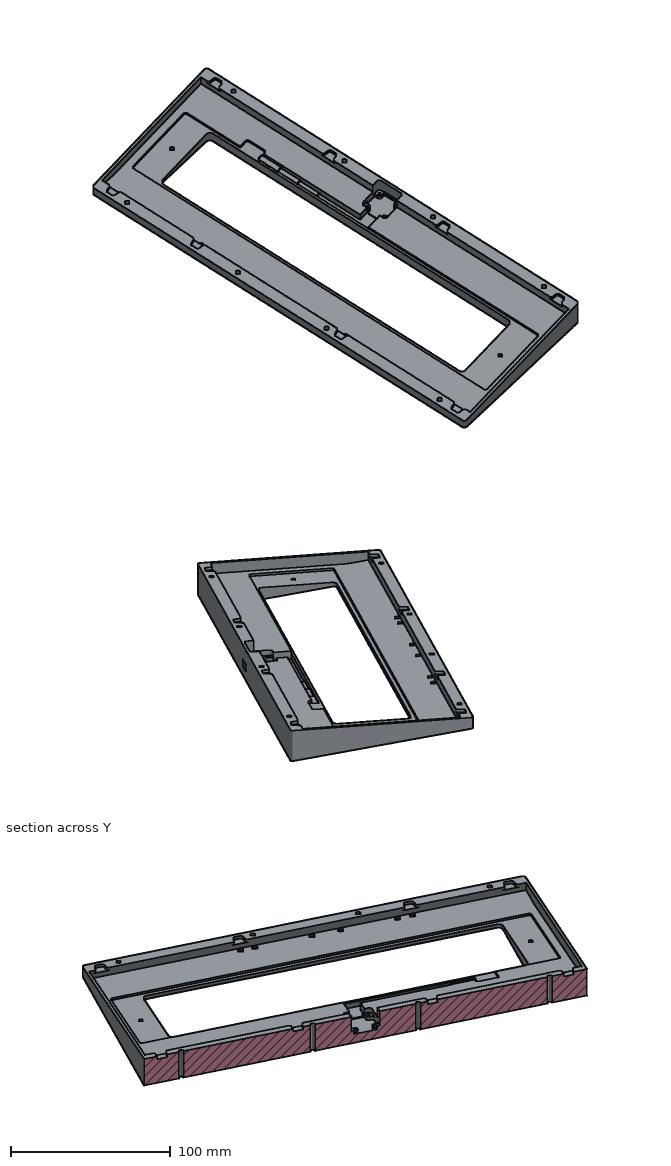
import cadquery as cq
import math

LENGTH = 295.3
WIDTH = 116.5
BACK_HEIGHT = 20.7
FRONT_HEIGHT = 7.5
CORNER_RADIUS = 2.0
HALF_WIDTH = WIDTH / 2
RISE = BACK_HEIGHT - FRONT_HEIGHT

SIDE_WALL = 2.0
RIM = 8.0
POCKET_DEPTH = 7.0
POCKET_FLOOR = BACK_HEIGHT - POCKET_DEPTH
POCKET_LENGTH = LENGTH - 2 * SIDE_WALL
POCKET_EDGE = HALF_WIDTH - RIM
RAMP_START = -37.0

RECESS_LENGTH = 280.2
RECESS_WIDTH = 54.3
RECESS_DEPTH = 1.5
RECESS_RADIUS = 1.5
RECESS_FLOOR = POCKET_FLOOR - RECESS_DEPTH
RECESS_BACK = RECESS_WIDTH / 2

WINDOW_LENGTH = 239.5
WINDOW_WIDTH = 50.0
WINDOW_Y = 0.45
WINDOW_RADIUS = 3.0

SCREW_DIAMETER = 2.55
SCREW_X = 130.0
SCREW_Y = 0.5
SCREW_DEPTH = 2.5
DRILL_TIP_ANGLE = 118.0

RIM_HOLE_DIAMETER = 3.0
RIM_HOLE_Y = 54.3
BACK_HOLES = (-122.8, -35.0, 35.0, 122.8)
FRONT_HOLES = (-122.8, -35.0, 35.0, 124.5)

TAB_BASE = 7.7
TAB_TOP = 6.0
TAB_REACH = 5.3
TAB_DEPTH = 2.0
TAB_RADIUS = 1.5
TAB_MOUTH = 4.5
BACK_TABS = (-135.5, -45.0, 45.0, 135.5)
FRONT_TABS = (-135.5, -68.8, 45.0, 137.3)

CLEARANCE_LENGTH = 3.5
CLEARANCE_WIDTH = 3.0
CLEARANCE_Y = -48.5
CLEARANCES = (-69.0, -59.0, -21.3, -2.0, 36.0, 45.5)

BOX_LENGTH = 19.0
BOX_BACK = 56.5
BOX_FRONT = 38.7
BOX_RADIUS = 1.8
BOX_FLOOR = 7.5
POST_SIZE = 4.5
POST_RADIUS = 1.5
POST_TOP = 10.0
POST_HOLE_DIAMETER = 1.62
POST_HOLE_INSET = 2.55
POST_HOLE_DEPTH = 2.7
PORT_TOP = 10.5
PORT_FLOOR = 6.2
PORT_WIDTH = BOX_LENGTH - 2 * POST_SIZE

CHANNEL_BACK = 31.5
CHANNEL_FLOOR = 8.3
CHANNEL_HALF = PORT_WIDTH / 2
CHANNEL_RADIUS = 1.2
CHANNEL_START = -82.7
STEP_LENGTH = 15.0
STEP_COUNT = 3

NOTCH_LEFT = -96.5
NOTCH_RIGHT = -81.5
NOTCH_BACK = 34.3
NOTCH_RADIUS = 1.5


def block(x0, x1, y0, y1, z0, z1):
    """Box between two opposite corners."""
    return cq.Workplane("XY").box(x1 - x0, y1 - y0, z1 - z0, centered=False).translate((x0, y0, z0))


def side_profile(points):
    """Wire in the YZ plane from (y, z) points."""
    return cq.Workplane("YZ").polyline(points).close()


def make_body():
    profile = [
        (-HALF_WIDTH, RISE),
        (HALF_WIDTH, 0),
        (HALF_WIDTH, BACK_HEIGHT),
        (-HALF_WIDTH, BACK_HEIGHT),
    ]
    body = side_profile(profile).extrude(LENGTH / 2, both=True)
    return body.edges("|Z").fillet(CORNER_RADIUS)


def make_pocket():
    ramp_top = POCKET_FLOOR + (RAMP_START + POCKET_EDGE) * RISE / WIDTH
    profile = [
        (POCKET_EDGE, POCKET_FLOOR),
        (POCKET_EDGE, BACK_HEIGHT),
        (-POCKET_EDGE, BACK_HEIGHT),
        (-POCKET_EDGE, ramp_top),
        (RAMP_START, POCKET_FLOOR),
    ]
    return side_profile(profile).extrude(POCKET_LENGTH / 2, both=True)


def make_recess():
    recess = cq.Workplane("XY").box(RECESS_LENGTH, RECESS_WIDTH, RECESS_DEPTH, centered=(True, True, False))
    return recess.edges("|Z").fillet(RECESS_RADIUS).translate((0, 0, RECESS_FLOOR))


def make_window():
    window = cq.Workplane("XY").box(WINDOW_LENGTH, WINDOW_WIDTH, 2 * BACK_HEIGHT)
    return window.edges("|Z").fillet(WINDOW_RADIUS).translate((0, WINDOW_Y, 0))


def make_screw_hole(x):
    radius = SCREW_DIAMETER / 2
    tip = radius / math.tan(math.radians(DRILL_TIP_ANGLE / 2))
    profile = [(0, -SCREW_DEPTH - tip), (radius, -SCREW_DEPTH), (radius, RECESS_DEPTH), (0, RECESS_DEPTH)]
    hole = cq.Workplane("XZ").polyline(profile).close().revolve(360, (0, 0), (0, 1))
    return hole.translate((x, SCREW_Y, RECESS_FLOOR))


def make_rim_holes():
    centres = [(x, RIM_HOLE_Y) for x in BACK_HOLES] + [(x, -RIM_HOLE_Y) for x in FRONT_HOLES]
    return cq.Workplane("XY").pushPoints(centres).circle(RIM_HOLE_DIAMETER / 2).extrude(BACK_HEIGHT)


def make_tab(x, side):
    """Rounded notch at x with a flared mouth; side is 1 for the back rim and -1 for the front rim."""
    mouth_half = TAB_BASE / 2 + TAB_MOUTH
    inside = POCKET_EDGE - TAB_MOUTH
    outer = POCKET_EDGE + TAB_REACH
    right = [(mouth_half, inside), (mouth_half, POCKET_EDGE), (TAB_BASE / 2, POCKET_EDGE), (TAB_TOP / 2, outer)]
    left = [(-px, py) for px, py in reversed(right)]
    tab = cq.Workplane("XY").polyline(right + left).close().extrude(TAB_DEPTH)
    tab = tab.edges("|Z").fillet(TAB_RADIUS)
    if side < 0:
        tab = tab.mirror("XZ")
    return tab.translate((x, 0, BACK_HEIGHT - TAB_DEPTH))


def make_clearances():
    centres = [(x, CLEARANCE_Y) for x in CLEARANCES]
    slots = cq.Workplane("XY").pushPoints(centres).slot2D(CLEARANCE_LENGTH, CLEARANCE_WIDTH).extrude(POCKET_DEPTH)
    return slots.translate((0, 0, POCKET_FLOOR))


def make_connector_box():
    half = BOX_LENGTH / 2
    box = block(-half, half, BOX_FRONT, BOX_BACK, BOX_FLOOR, BACK_HEIGHT).edges("|Z").fillet(BOX_RADIUS)
    for x_side in (-1, 1):
        for y_edge, y_side in ((BOX_FRONT, 1), (BOX_BACK, -1)):
            box = box.cut(make_post(x_side * half, y_edge, x_side, y_side))
            hole = cq.Workplane("XY").circle(POST_HOLE_DIAMETER / 2).extrude(POST_HOLE_DEPTH)
            x_hole = x_side * (half - POST_HOLE_INSET)
            y_hole = y_edge + y_side * POST_HOLE_INSET
            box = box.union(hole.translate((x_hole, y_hole, POST_TOP - POST_HOLE_DEPTH)))
    return box


def make_post(x, y, x_side, y_side):
    """Square corner post, widened by a fillet where it meets each box wall."""
    post = block(0, POST_SIZE, 0, POST_SIZE, BOX_FLOOR, POST_TOP)
    post = post.edges("|Z and >X and >Y").fillet(POST_RADIUS)
    for turn in (0, 1):
        web = block(0, POST_SIZE + POST_RADIUS, 0, POST_RADIUS, BOX_FLOOR, POST_TOP)
        relief = cq.Workplane("XY").center(POST_SIZE + POST_RADIUS, POST_RADIUS).circle(POST_RADIUS)
        web = web.cut(relief.extrude(BACK_HEIGHT))
        if turn:
            web = web.mirror("XZ").rotate((0, 0, 0), (0, 0, 1), 90)
        post = post.union(web)
    if x_side > 0:
        post = post.mirror("YZ")
    if y_side < 0:
        post = post.mirror("XZ")
    return post.translate((x, y, 0))


def make_port():
    return block(-CHANNEL_HALF, CHANNEL_HALF, BOX_BACK, HALF_WIDTH, PORT_FLOOR, PORT_TOP)


def make_channel():
    channel = block(-CHANNEL_HALF, CHANNEL_HALF, RECESS_BACK, BOX_FRONT, CHANNEL_FLOOR, POCKET_FLOOR)
    step_drop = (RECESS_FLOOR - CHANNEL_FLOOR) / (STEP_COUNT + 1)
    for step in range(STEP_COUNT + 1):
        left = CHANNEL_START + step * STEP_LENGTH
        floor = RECESS_FLOOR - (step + 1) * step_drop
        section = block(left, CHANNEL_HALF, RECESS_BACK, CHANNEL_BACK, floor, POCKET_FLOOR)
        channel = channel.union(section.edges("|Z and <X").fillet(CHANNEL_RADIUS))
    return channel


def make_notch():
    notch = block(NOTCH_LEFT, NOTCH_RIGHT, RECESS_BACK, NOTCH_BACK, RECESS_FLOOR, POCKET_FLOOR)
    return notch.edges("|Z and >Y").fillet(NOTCH_RADIUS)


result = make_body().cut(make_pocket()).cut(make_recess()).cut(make_window())
result = result.cut(make_rim_holes()).cut(make_clearances())
for screw_x in (-SCREW_X, SCREW_X):
    result = result.cut(make_screw_hole(screw_x))
for tab_x in BACK_TABS:
    result = result.cut(make_tab(tab_x, 1))
for tab_x in FRONT_TABS:
    result = result.cut(make_tab(tab_x, -1))
result = result.cut(make_connector_box()).cut(make_port())
result = result.cut(make_channel()).cut(make_notch())